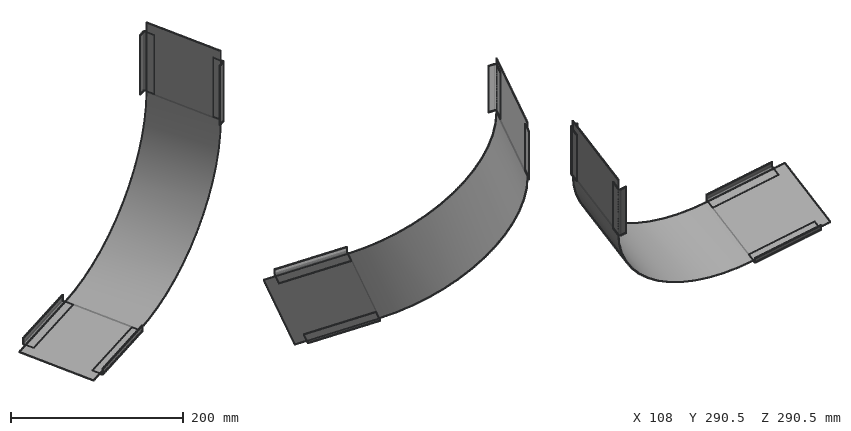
import cadquery as cq
import math

overall_width = 108.0
overall_length = 290.5

sheet_width = 100.0
sheet_thickness = 0.78
flat_length = 105.2

bracket_thickness = 1.0
bracket_bend_radius = 2.0
bracket_depth = 10.0
bracket_leg = 14.5
bracket_length = 89.8
bracket_end_offset = 15.0

sheet_outer_y = overall_length - bracket_thickness
sheet_inner_y = sheet_outer_y - sheet_thickness
sheet_bottom_z = bracket_thickness
sheet_top_z = sheet_bottom_z + sheet_thickness
vertical_flat_z = overall_length - flat_length
outer_bend_radius = sheet_outer_y - flat_length
inner_bend_radius = outer_bend_radius - sheet_thickness
diagonal = math.sin(math.radians(45))


def bend_middle(radius):
    """Return the (y, z) halfway point of the quarter bend at the given radius."""
    return (flat_length + radius * diagonal, vertical_flat_z - radius * diagonal)


def make_sheet():
    """Thin sheet running from the horizontal flat, round the bend, to the vertical flat."""
    return (
        cq.Workplane("YZ")
        .moveTo(0, sheet_bottom_z)
        .lineTo(flat_length, sheet_bottom_z)
        .threePointArc(bend_middle(outer_bend_radius), (sheet_outer_y, vertical_flat_z))
        .lineTo(sheet_outer_y, overall_length)
        .lineTo(sheet_inner_y, overall_length)
        .lineTo(sheet_inner_y, vertical_flat_z)
        .threePointArc(bend_middle(inner_bend_radius), (flat_length, sheet_top_z))
        .lineTo(0, sheet_top_z)
        .close()
        .extrude(sheet_width / 2, both=True)
    )


def make_vertical_bracket():
    """Left-hand L-shaped bracket: a leg behind the sheet and a flange pointing towards -Y."""
    outer_x = -overall_width / 2
    inner_x = outer_x + bracket_thickness
    leg_end_x = outer_x + bracket_leg
    back_y = overall_length
    front_y = back_y - bracket_thickness
    flange_end_y = back_y - bracket_depth
    bracket_bottom_z = overall_length - bracket_end_offset - bracket_length
    blank = (
        cq.Workplane("XY", origin=(0, 0, bracket_bottom_z))
        .moveTo(outer_x, flange_end_y)
        .lineTo(outer_x, back_y)
        .lineTo(leg_end_x, back_y)
        .lineTo(leg_end_x, front_y)
        .lineTo(inner_x, front_y)
        .lineTo(inner_x, flange_end_y)
        .close()
        .extrude(bracket_length)
    )
    outer_corner = cq.selectors.NearestToPointSelector(
        (outer_x, back_y, bracket_bottom_z + bracket_length / 2)
    )
    inner_corner = cq.selectors.NearestToPointSelector(
        (inner_x, front_y, bracket_bottom_z + bracket_length / 2)
    )
    return (
        blank.edges(outer_corner)
        .fillet(bracket_bend_radius)
        .edges(inner_corner)
        .fillet(bracket_bend_radius - bracket_thickness)
    )


def make_brackets():
    """Two brackets on the vertical flat and two on the horizontal flat."""
    brackets = []
    diagonal_middle = (0, overall_length / 2, overall_length / 2)
    diagonal_end = (0, overall_length, 0)
    for side in ("left", "right"):
        upright = make_vertical_bracket()
        if side == "right":
            upright = upright.mirror("YZ")
        flat = upright.rotate(diagonal_middle, diagonal_end, 180)
        brackets += [upright, flat]
    return brackets


sheet = make_sheet()
brackets = make_brackets()
result = cq.Compound.makeCompound([sheet.val(), *[bracket.val() for bracket in brackets]])